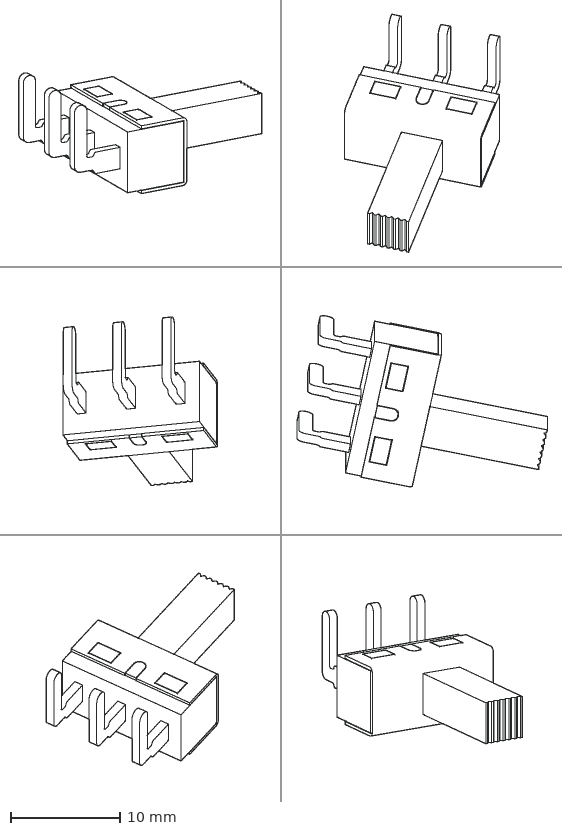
import cadquery as cq
import math


TOTAL_LENGTH = 22.1
PIN_REACH = 4.82
SLIDER_TIP_Y = TOTAL_LENGTH - PIN_REACH

SWITCH_WIDTH = 12.95
COVER_HEIGHT = 6.59
COVER_INNER_HEIGHT = 6.0
COVER_FRONT_Y = 1.45
COVER_BACK_Y = 6.25
COVER_BEND_RADIUS = 0.46
SHEET = (COVER_HEIGHT - COVER_INNER_HEIGHT) / 2

CLEARANCE = 0.05
HOUSING_HEIGHT = COVER_INNER_HEIGHT - 2 * CLEARANCE
HOUSING_BACK_Y = COVER_BACK_Y - SHEET - CLEARANCE

WINDOW_WIDTH = 2.5
WINDOW_DEPTH = 1.64
WINDOW_OFFSET_X = 3.62
WINDOW_CENTER_Y = 2.7
KEYWAY_WIDTH = 1.24
KEYWAY_TIP_Y = 3.58

SLIDER_SIDE = 3.91
SLIDER_CENTER_X = -0.9
GROOVE_COUNT = 6
GROOVE_PITCH = 0.62
GROOVE_DEPTH = 0.22
GROOVE_WIDTH = 2 * GROOVE_DEPTH

PIN_COUNT = 3
PIN_PITCH = 4.69
PIN_WIDTH = 0.85
PIN_TOTAL_HEIGHT = 9.15
PIN_TOP_Z = PIN_TOTAL_HEIGHT - COVER_HEIGHT / 2
PIN_ROOT_HEIGHT = 2.08
PIN_ROOT_LENGTH = 2.65
PIN_BAR = 1.3
PIN_SHOULDER_ANGLE = 60
PIN_SMALL_RADIUS = 0.2
PIN_BEND_RADIUS = 0.66


def box(x_size, y_min, y_max, z_size, x_center=0):
    """Block centred on x_center and on Z = 0, spanning y_min to y_max."""
    block = cq.Workplane("XY").box(x_size, y_max - y_min, z_size)
    return block.translate((x_center, (y_min + y_max) / 2, 0))


def window_prisms(inset):
    """Two window-shaped prisms through both cover walls, shrunk by inset on every side."""
    return (
        cq.Workplane("XY")
        .pushPoints([(-WINDOW_OFFSET_X, WINDOW_CENTER_Y), (WINDOW_OFFSET_X, WINDOW_CENTER_Y)])
        .rect(WINDOW_WIDTH - 2 * inset, WINDOW_DEPTH - 2 * inset)
        .extrude(COVER_HEIGHT / 2, both=True)
    )


def keyway_prism(inset):
    """Round-ended keyway prism through both cover walls, shrunk by inset on every side."""
    half_width = KEYWAY_WIDTH / 2 - inset
    front_y = COVER_FRONT_Y + inset
    tip_y = KEYWAY_TIP_Y - inset
    arc_start_y = tip_y - half_width
    return (
        cq.Workplane("XY")
        .moveTo(-half_width, front_y)
        .lineTo(half_width, front_y)
        .lineTo(half_width, arc_start_y)
        .threePointArc((0, tip_y), (-half_width, arc_start_y))
        .close()
        .extrude(COVER_HEIGHT / 2, both=True)
    )


def make_cover():
    """Sheet channel with two windows and one open-ended keyway in each wall."""
    shell = box(SWITCH_WIDTH, COVER_FRONT_Y, COVER_BACK_Y, COVER_HEIGHT)
    shell = shell.faces(">Y").edges("|X").fillet(COVER_BEND_RADIUS)
    cavity = box(SWITCH_WIDTH, COVER_FRONT_Y, COVER_BACK_Y - SHEET, COVER_INNER_HEIGHT)
    return shell.cut(cavity).cut(window_prisms(0)).cut(keyway_prism(0))


def make_housing():
    """Block with bosses that stand in the cover windows, flush with the cover."""
    block = box(SWITCH_WIDTH, 0, HOUSING_BACK_Y, HOUSING_HEIGHT)
    return block.union(window_prisms(CLEARANCE))


def make_key(side):
    """Key as thick as the cover sheet, in the upper (side = 1) or lower (side = -1) keyway."""
    wall_z = side * (COVER_HEIGHT - SHEET) / 2
    wall = box(SWITCH_WIDTH, COVER_FRONT_Y, COVER_BACK_Y, SHEET).translate((0, 0, wall_z))
    return keyway_prism(CLEARANCE).intersect(wall)


def make_slider():
    """Square bar standing on the cover, with V grooves across its tip."""
    bar = box(SLIDER_SIDE, COVER_BACK_Y, SLIDER_TIP_Y, SLIDER_SIDE, SLIDER_CENTER_X)
    for index in range(GROOVE_COUNT):
        groove_x = SLIDER_CENTER_X + (index - (GROOVE_COUNT - 1) / 2) * GROOVE_PITCH
        groove = (
            cq.Workplane("XY")
            .moveTo(groove_x - GROOVE_WIDTH / 2, SLIDER_TIP_Y)
            .lineTo(groove_x, SLIDER_TIP_Y - GROOVE_DEPTH)
            .lineTo(groove_x + GROOVE_WIDTH / 2, SLIDER_TIP_Y)
            .close()
            .extrude(SLIDER_SIDE / 2, both=True)
        )
        bar = bar.cut(groove)
    return bar


def round_pin_corners(blank, corners, radius):
    """Fillet the edges along X at the given (y, z) corners of the pin profile."""
    edges = [blank.edges(cq.NearestToPointSelector((0, y, z))).val() for y, z in corners]
    return blank.newObject(edges).fillet(radius)


def make_pin(x_center):
    """Flat pin: tall root, shoulders down to a neck, then a bend up into a round-ended leg."""
    half_root = PIN_ROOT_HEIGHT / 2
    half_bar = PIN_BAR / 2
    shoulder_y = -PIN_ROOT_LENGTH
    neck_y = shoulder_y - (half_root - half_bar) / math.tan(math.radians(PIN_SHOULDER_ANGLE))
    leg_inner_y = PIN_BAR - PIN_REACH
    leg_arc_z = PIN_TOP_Z - half_bar

    pin = (
        cq.Workplane("YZ", origin=(-PIN_WIDTH / 2, 0, 0))
        .moveTo(0, -half_root)
        .lineTo(shoulder_y, -half_root)
        .lineTo(neck_y, -half_bar)
        .lineTo(-PIN_REACH, -half_bar)
        .lineTo(-PIN_REACH, leg_arc_z)
        .threePointArc((half_bar - PIN_REACH, PIN_TOP_Z), (leg_inner_y, leg_arc_z))
        .lineTo(leg_inner_y, half_bar)
        .lineTo(neck_y, half_bar)
        .lineTo(shoulder_y, half_root)
        .lineTo(0, half_root)
        .close()
        .extrude(PIN_WIDTH)
    )
    small_corners = [
        (shoulder_y, -half_root),
        (shoulder_y, half_root),
        (neck_y, -half_bar),
        (neck_y, half_bar),
        (leg_inner_y, half_bar),
    ]
    pin = round_pin_corners(pin, small_corners, PIN_SMALL_RADIUS)
    pin = round_pin_corners(pin, [(-PIN_REACH, -half_bar)], PIN_BEND_RADIUS)
    return pin.translate((x_center, 0, 0))


cover = make_cover()
housing = make_housing()
slider = make_slider()
keys = [make_key(side) for side in (1, -1)]
pins = [make_pin((index - (PIN_COUNT - 1) / 2) * PIN_PITCH) for index in range(PIN_COUNT)]

bodies = [cover, housing, slider, *keys, *pins]
result = cq.Compound.makeCompound([body.solids().val() for body in bodies])